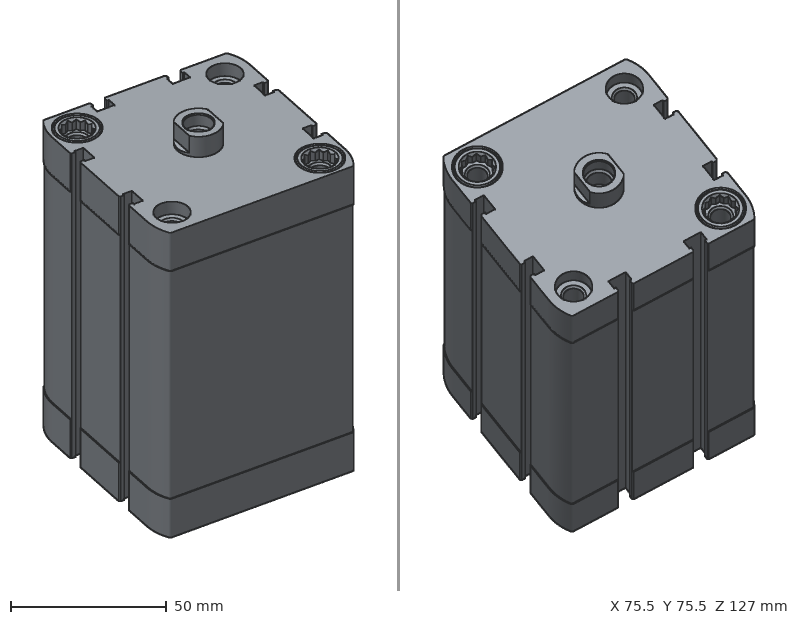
import cadquery as cq
import math


cap_width = 75.5
barrel_width = 74.8
housing_height = 119.0
cap_height = 15.1

corner_arc_start = 28.25
corner_arc_radius = 17.5
corner_edge_radius = 1.0

slot_offset = 14.4
slot_mouth_width = 5.2
slot_inner_width = 6.6
slot_lip = 1.8
slot_depth = 5.2
slot_chamfer = 0.45
slot_side_angles = (0, 90, 180)

hole_pitch = 56.35
through_diameter = 6.65
through_mouth_diameter = 8.1
through_chamfer = (through_mouth_diameter - through_diameter) / 2
counterbore_diameter = 12.0
counterbore_depth = 5.0

groove_outer_diameter = 16.4
groove_bottom_diameter = 15.5
groove_inner_diameter = 14.5
groove_depth = 0.45
socket_mouth_diameter = 12.0
socket_cone_diameter = 9.4
socket_cone_depth = 1.55
socket_across_flats = 9.7
socket_depth = 4.4
socket_hexagon_angles = (0, 30)

rod_diameter = 16.0
rod_projection = 8.0
rod_insertion = 20.0
rod_across_flats = 13.0
flat_foot_height = 1.4
flat_foot_drop = 0.55
rod_mouth_diameter = 10.5
rod_counterbore_diameter = 10.0
rod_counterbore_depth = 4.8
rod_mouth_chamfer = 0.5
rod_bore_diameter = 8.38
rod_bore_depth = 12.0
rod_step_cone_depth = 0.8
drill_point_angle = 118.0

hole_offset = hole_pitch / 2
rod_top = housing_height + rod_projection
rod_base = housing_height - rod_insertion


def turned(points):
    """Solid of revolution about Z from an outline of (radius, height) points."""
    return cq.Workplane("XZ").polyline(points).close().revolve(360, (0, 0, 0), (0, 1, 0))


def rounded_block(width, height):
    """Square block standing on Z = 0 with an arc and a small round at each corner."""
    half = width / 2
    start = corner_arc_start
    arc_angle = math.asin((half - start) / corner_arc_radius)
    arc_centre_y = half - corner_arc_radius
    end_y = arc_centre_y + corner_arc_radius * math.cos(arc_angle)
    mid_x = start + corner_arc_radius * math.sin(arc_angle / 2)
    mid_y = arc_centre_y + corner_arc_radius * math.cos(arc_angle / 2)
    block = (
        cq.Workplane("XY")
        .moveTo(-start, half)
        .lineTo(start, half)
        .threePointArc((mid_x, mid_y), (half, end_y))
        .lineTo(half, -end_y)
        .threePointArc((mid_x, -mid_y), (start, -half))
        .lineTo(-start, -half)
        .threePointArc((-mid_x, -mid_y), (-half, -end_y))
        .lineTo(-half, end_y)
        .threePointArc((-mid_x, mid_y), (-start, half))
        .close()
        .extrude(height)
    )
    return block.edges("(>X or <X) and |Z").fillet(corner_edge_radius)


def sensor_slot(offset, angle):
    """Full-height T-slot cutter on the +Y face, turned about Z by the angle."""
    face = cap_width / 2
    bottom = face - slot_depth
    lip = face - slot_lip
    mouth_half = slot_mouth_width / 2
    inner_half = slot_inner_width / 2
    half_outline = [
        (inner_half, bottom),
        (inner_half, lip),
        (mouth_half, lip),
        (mouth_half, face - slot_chamfer),
        (mouth_half + slot_chamfer, face),
    ]
    outline = half_outline + [(-x, y) for x, y in reversed(half_outline)]
    slot = cq.Workplane("XY").polyline(outline).close().extrude(housing_height)
    return slot.translate((offset, 0, 0)).rotate((0, 0, 0), (0, 0, 1), angle)


def through_hole(mouth_z):
    """Through-hole cutter from Z = 0, with a chamfered mouth at the given height."""
    return turned([
        (0, 0),
        (through_diameter / 2, 0),
        (through_diameter / 2, mouth_z - through_chamfer),
        (through_mouth_diameter / 2, mouth_z),
        (0, mouth_z),
    ])


def counterbored_hole():
    """Mounting-hole cutter with a flat-bottomed counterbore at the top."""
    floor = housing_height - counterbore_depth
    counterbore = cq.Workplane("XY", origin=(0, 0, floor)).circle(counterbore_diameter / 2)
    return through_hole(floor).union(counterbore.extrude(counterbore_depth))


def socket_hole():
    """Mounting-hole cutter with a twelve-point socket, two crossed hexagons, and a conical mouth."""
    floor = housing_height - socket_depth
    hole = through_hole(floor)
    hexagon_diameter = socket_across_flats / math.cos(math.pi / 6)
    hexagon = cq.Workplane("XY", origin=(0, 0, floor)).polygon(6, hexagon_diameter)
    hexagon = hexagon.extrude(socket_depth)
    for angle in socket_hexagon_angles:
        hole = hole.union(hexagon.rotate((0, 0, 0), (0, 0, 1), angle))
    cone_base = housing_height - socket_cone_depth
    cone = turned([
        (0, cone_base),
        (socket_cone_diameter / 2, cone_base),
        (socket_mouth_diameter / 2, housing_height),
        (0, housing_height),
    ])
    return hole.union(cone)


def ring_groove():
    """V-shaped ring cutter in the top face."""
    return turned([
        (groove_outer_diameter / 2, housing_height),
        (groove_bottom_diameter / 2, housing_height - groove_depth),
        (groove_inner_diameter / 2, housing_height),
    ])


def rod_bar():
    """Plain round bar of the rod, which is also the shape of its seat in the housing."""
    bar = cq.Workplane("XY", origin=(0, 0, rod_base)).circle(rod_diameter / 2)
    return bar.extrude(rod_projection + rod_insertion)


def rod_flat():
    """Cutter for the wrench flat on the +Y side, with a foot that slopes down outwards."""
    flat_y = rod_across_flats / 2
    rod_radius = rod_diameter / 2
    foot_z = housing_height + flat_foot_height
    outline = [
        (flat_y, rod_top),
        (rod_radius, rod_top),
        (rod_radius, foot_z - flat_foot_drop),
        (flat_y, foot_z),
    ]
    return cq.Workplane("YZ").polyline(outline).close().extrude(rod_radius, both=True)


def rod_bore():
    """Stepped blind bore in the rod end, finished with a drill point."""
    bore_radius = rod_bore_diameter / 2
    counterbore_radius = rod_counterbore_diameter / 2
    step_z = rod_top - rod_counterbore_depth
    bore_end = rod_top - rod_bore_depth
    point_length = bore_radius / math.tan(math.radians(drill_point_angle / 2))
    return turned([
        (0, rod_top),
        (rod_mouth_diameter / 2, rod_top),
        (counterbore_radius, rod_top - rod_mouth_chamfer),
        (counterbore_radius, step_z),
        (bore_radius, step_z - rod_step_cone_depth),
        (bore_radius, bore_end),
        (0, bore_end - point_length),
    ])


def make_housing():
    cap = rounded_block(cap_width, cap_height)
    body = rounded_block(barrel_width, housing_height)
    body = body.union(cap).union(cap.translate((0, 0, housing_height - cap_height)))
    for angle in slot_side_angles:
        for offset in (-slot_offset, slot_offset):
            body = body.cut(sensor_slot(offset, angle))
    for side in (-1, 1):
        plain_place = (side * hole_offset, -side * hole_offset, 0)
        socket_place = (side * hole_offset, side * hole_offset, 0)
        body = body.cut(counterbored_hole().translate(plain_place))
        body = body.cut(socket_hole().translate(socket_place))
        body = body.cut(ring_groove().translate(socket_place))
    return body.cut(rod_bar())


def make_piston_rod():
    flat = rod_flat()
    return rod_bar().cut(flat).cut(flat.mirror("XZ")).cut(rod_bore())


housing = make_housing()
piston_rod = make_piston_rod()

result = cq.Compound.makeCompound([housing.val(), piston_rod.val()])